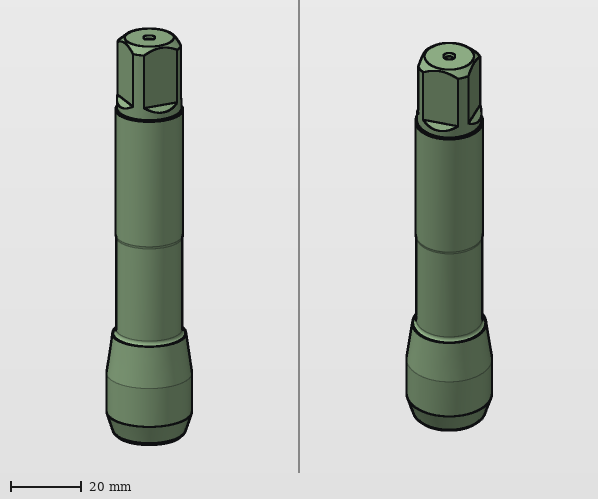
import cadquery as cq
import math

TOTAL_HEIGHT = 120.0

DRIVE_DIAMETER = 18.2
NECK_DIAMETER = 18.7
BAND_DIAMETER = 19.1
BAND_BOTTOM = 59.5
BAND_TOP = 98.5
BAND_BOTTOM_TAPER = 0.7
BAND_TOP_TAPER = 0.4

SQUARE_WIDTH = 15.0
FLAT_BOTTOM = 102.1
RUN_OUT_ANGLE = 45.0
END_FACE_DIAMETER = 13.9
END_CHAMFER_HEIGHT = 1.9

HOLE_DIAMETER = 2.0
HOLE_MOUTH_DIAMETER = 3.4
HOLE_DEPTH = 3.6
DRILL_POINT_ANGLE = 120.0

HEAD_DIAMETER = 24.2
HEAD_TOP = 30.2
HEAD_TOP_DIAMETER = 20.9
BELT_TOP = 18.2
BELT_BOTTOM = 6.6
NOSE_DIAMETER = 20.6
NOSE_HEIGHT = 1.0
NOSE_FACE_DIAMETER = 18.7

FLARE_DIAMETER = 20.4
FLARE_HEIGHT = 1.3


def revolve_profile(points):
    """Turn a (radius, height) outline about the Z axis."""
    return cq.Workplane("XZ").polyline(points).close().revolve(360, (0, 0, 0), (0, 1, 0))


def turned_shank():
    drive = DRIVE_DIAMETER / 2
    neck = NECK_DIAMETER / 2
    band = BAND_DIAMETER / 2
    flare = FLARE_DIAMETER / 2
    flare_middle = (
        flare - (flare - neck) * math.sin(math.radians(45)),
        HEAD_TOP + FLARE_HEIGHT * (1 - math.sin(math.radians(45))),
    )
    return (
        cq.Workplane("XZ")
        .moveTo(0, HEAD_TOP)
        .lineTo(flare, HEAD_TOP)
        .threePointArc(flare_middle, (neck, HEAD_TOP + FLARE_HEIGHT))
        .lineTo(neck, BAND_BOTTOM)
        .lineTo(band, BAND_BOTTOM + BAND_BOTTOM_TAPER)
        .lineTo(band, BAND_TOP - BAND_TOP_TAPER)
        .lineTo(drive, BAND_TOP)
        .lineTo(drive, TOTAL_HEIGHT - END_CHAMFER_HEIGHT)
        .lineTo(END_FACE_DIAMETER / 2, TOTAL_HEIGHT)
        .lineTo(0, TOTAL_HEIGHT)
        .close()
        .revolve(360, (0, 0, 0), (0, 1, 0))
    )


def flat_cutter():
    """Material beside one drive flat, with a sloping run-out at its foot."""
    flat = SQUARE_WIDTH / 2
    reach = BAND_DIAMETER / 2
    run_out_drop = (reach - flat) * math.tan(math.radians(RUN_OUT_ANGLE))
    return (
        cq.Workplane("XZ")
        .polyline([
            (flat, TOTAL_HEIGHT),
            (flat, FLAT_BOTTOM),
            (reach, FLAT_BOTTOM - run_out_drop),
            (reach, TOTAL_HEIGHT),
        ])
        .close()
        .extrude(BAND_DIAMETER / 2, both=True)
    )


def centre_hole():
    """Countersunk blind hole with a drill point."""
    hole = HOLE_DIAMETER / 2
    mouth = HOLE_MOUTH_DIAMETER / 2
    floor = TOTAL_HEIGHT - HOLE_DEPTH
    point_depth = hole / math.tan(math.radians(DRILL_POINT_ANGLE / 2))
    return revolve_profile([
        (0, TOTAL_HEIGHT),
        (mouth, TOTAL_HEIGHT),
        (hole, TOTAL_HEIGHT - (mouth - hole)),
        (hole, floor),
        (0, floor - point_depth),
    ])


def make_shank():
    shank = turned_shank()
    for angle in (0, 90, 180, 270):
        shank = shank.cut(flat_cutter().rotate((0, 0, 0), (0, 0, 1), angle))
    return shank.cut(centre_hole())


def make_head():
    """Barrel-shaped head butted against the flared foot of the shank."""
    belt = HEAD_DIAMETER / 2
    return revolve_profile([
        (0, 0),
        (NOSE_FACE_DIAMETER / 2, 0),
        (NOSE_DIAMETER / 2, NOSE_HEIGHT),
        (belt, BELT_BOTTOM),
        (belt, BELT_TOP),
        (HEAD_TOP_DIAMETER / 2, HEAD_TOP),
        (0, HEAD_TOP),
    ])


shank = make_shank()
head = make_head()

result = cq.Compound.makeCompound([shank.val(), head.val()])